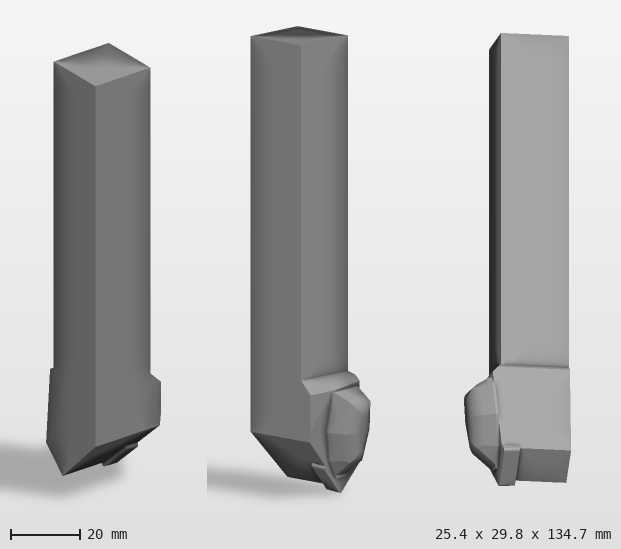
import cadquery as cq
import math

shank_size = 20.0
tool_length = 134.67
overall_width = 25.36

insert_side = 12.7
insert_thickness = 4.76
nose_radius = 0.8
lean_angle = 8.0
lean_run = math.tan(math.radians(lean_angle)) / math.sqrt(2)

flat_reach = insert_side / math.sqrt(2) - nose_radius * (math.sqrt(2) - 1)
corner_reach = flat_reach * (1 + math.cos(math.radians(lean_angle))) / 2

insert_x = shank_size - overall_width + corner_reach
insert_z = corner_reach
rake_y = shank_size + lean_run * corner_reach
insert_center = (insert_x, rake_y, insert_z)

step_top_z = 35.6
step_width = 1.75
step_height = 1.2
head_corner = (-3.65, 9.75)
head_tip = (4.3, 2.1)
relief_top_z = head_tip[1] + shank_size - head_tip[0]

head_rise = 3.8

clamp_foot = 0.8
clamp_height = 7.14
clamp_draft = 27.0
clamp_round = 5.5
clamp_outline = [
    (5.0, 0.2),
    (19.8, -3.6),
    (31.6, -2.7),
    (31.6, 11.2),
    (19.8, 12.7),
    (5.0, 9.2),
]
clamp_corner_cuts = [
    [(29.2, -2.9), (31.6, -0.1), (36.0, -7.0)],
    [(10.8, -1.3), (5.0, 2.5), (0.0, -6.0)],
    [(10.8, 10.6), (5.0, 6.8), (0.0, 15.3)],
]
clamp_nose_z = 6.0
nose_slope = 45.0

clearance = 60.0


def lean(body):
    """Tilt a body built square to Y about the insert centre, so its +Y end drops toward -X and -Z."""
    axis_end = (insert_x - 1, rake_y, insert_z + 1)
    return body.rotate(insert_center, axis_end, lean_angle)


def on_rake(offset=0.0):
    """Workplane facing +Y at the insert's rake face; its local coordinates are (z, x)."""
    return cq.Workplane("ZX", origin=(0, rake_y + offset, 0))


def make_insert():
    square = (
        on_rake(-insert_thickness)
        .center(insert_z, insert_x)
        .transformed(rotate=(0, 0, 45))
        .rect(insert_side, insert_side)
        .extrude(insert_thickness)
        .edges("|Y")
        .fillet(nose_radius)
    )
    return lean(square)


def make_clamp():
    foot = on_rake().polyline(clamp_outline).close().extrude(clamp_foot)
    dome = (
        on_rake(clamp_foot)
        .polyline(clamp_outline)
        .close()
        .extrude(clamp_height - clamp_foot, taper=clamp_draft)
    )
    nose_cut = (
        cq.Workplane("YZ", origin=(-clearance, rake_y + clamp_foot, clamp_nose_z))
        .lineTo(clearance, clearance * math.tan(math.radians(nose_slope)))
        .lineTo(clearance, -clearance)
        .lineTo(0, -clearance)
        .close()
        .extrude(2 * clearance)
    )
    dome = dome.cut(nose_cut)
    dome = dome.faces(">Y").edges().fillet(clamp_round)
    for triangle in clamp_corner_cuts:
        foot = foot.cut(on_rake().polyline(triangle).close().extrude(clamp_foot))
        drafted = on_rake(clamp_foot).polyline(triangle).close().extrude(clamp_height, taper=-clamp_draft)
        dome = dome.cut(drafted)
    return lean(foot.union(dome))


def make_holder():
    outline = (
        cq.Workplane("XZ")
        .polyline([
            (0, tool_length),
            (0, step_top_z),
            (-step_width, step_top_z - step_height),
            head_corner,
            head_tip,
            (shank_size, relief_top_z),
            (shank_size, tool_length),
        ])
        .close()
        .extrude(-shank_size - head_rise)
    )
    above_shank = (
        cq.Workplane("YZ", origin=(-clearance, 0, 0))
        .polyline([
            (shank_size, tool_length),
            (shank_size, step_top_z),
            (shank_size + head_rise, step_top_z - head_rise),
            (shank_size + head_rise, tool_length),
        ])
        .close()
        .extrude(2 * clearance)
    )
    above_rake = lean(on_rake().rect(2 * clearance, 2 * clearance).extrude(clearance))
    return outline.cut(above_shank).cut(above_rake).union(make_clamp()).cut(make_insert())


insert = make_insert()
holder = make_holder()
result = cq.Compound.makeCompound([holder.val(), insert.val()])